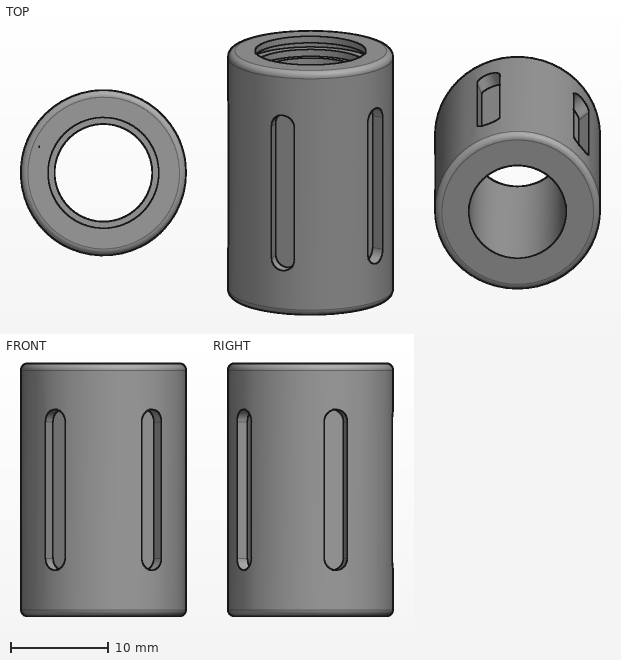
import cadquery as cq

length = 26.0
outer_diameter = 17.0
edge_radius = 0.7
bore_diameter = 10.0

recess_diameter = 11.4
recess_depth = 2.13
lip_height = 0.7
groove_height = 0.7
groove_diameter = 13.4

slot_count = 5
slot_length = 16.5
slot_width = 2.5
slot_floor_radius = 7.1
first_slot_angle = 90.0

top = length / 2


def bore_cutter(diameter, upper_z, depth):
    """Disc on the Z axis reaching down from upper_z."""
    return cq.Workplane("XY").workplane(offset=upper_z - depth).circle(diameter / 2).extrude(depth)


def slot_cutter(angle):
    """Slot pocket from its flat floor to the outer surface, turned to the given angle."""
    cutter_depth = outer_diameter / 2 - slot_floor_radius
    return (
        cq.Workplane("YZ")
        .workplane(offset=slot_floor_radius)
        .slot2D(slot_length, slot_width, 90)
        .extrude(cutter_depth)
        .rotate((0, 0, 0), (0, 0, 1), angle)
    )


result = (
    cq.Workplane("XY")
    .cylinder(length, outer_diameter / 2)
    .edges("%CIRCLE")
    .fillet(edge_radius)
)

result = result.cut(bore_cutter(bore_diameter, top, length))
result = result.cut(bore_cutter(recess_diameter, top, recess_depth))
result = result.cut(bore_cutter(groove_diameter, top - lip_height, groove_height))

for index in range(slot_count):
    result = result.cut(slot_cutter(first_slot_angle + index * 360 / slot_count))